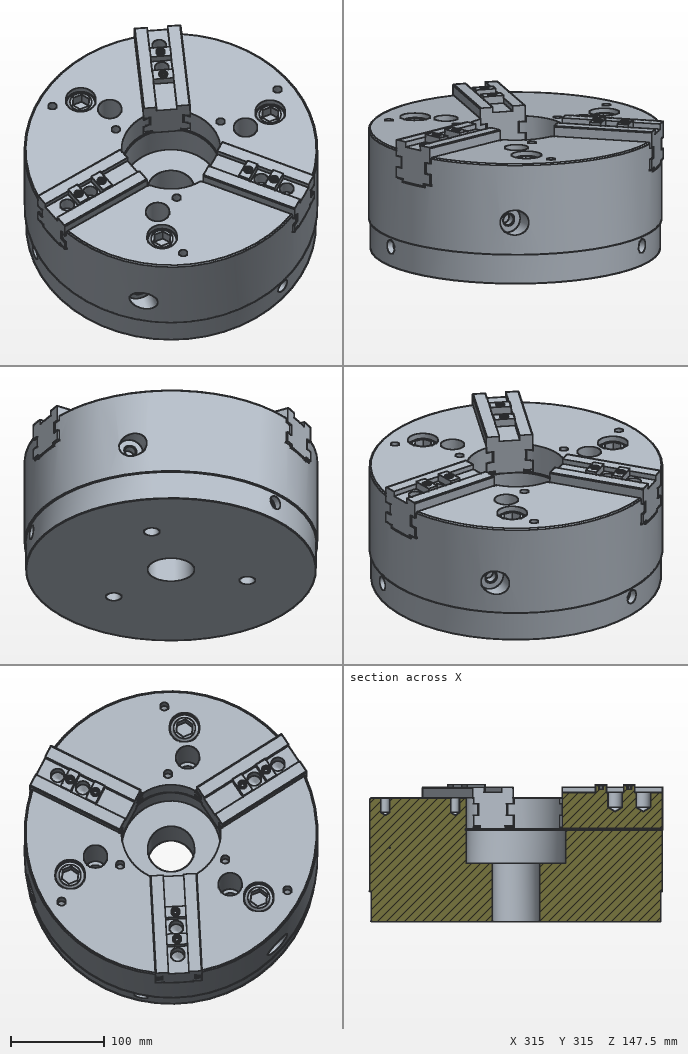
import cadquery as cq
import math

BODY_RADIUS = 157.5
BASE_RADIUS = 156.0
BASE_HEIGHT = 32.5
BODY_TOP = 133.2
TOP_CHAMFER = 1.5
EDGE_CHAMFER = 0.5
BORE_DIAMETER = 106.5
BORE_FLOOR = 63.0
BORE_GROOVE_HEIGHT = 98.5
BORE_GROOVE_WIDTH = 1.3
BORE_GROOVE_DEPTH = 1.0
THROUGH_BORE_DIAMETER = 50.5

JAW_COUNT = 3
JAW_ANGLE = 270.0
JAW_INNER_RADIUS = 49.5
JAW_WIDTH = 50.5
JAW_TOP = 144.5
JAW_CHAMFER = 1.0
JAW_BOTTOM = 103.0
GUIDE_TOP = 126.5
GUIDE_BOTTOM = 114.5
NECK_WIDTH = 34.5
TONGUE_WIDTH = 31.0
TONGUE_HEIGHT = 2.8
CLEARANCE = 1.42

GROOVE_WIDTH = 22.0
GROOVE_FLOOR = 139.0
NUT_TOP = 147.5
NUT_LENGTH = 12.0
NUT_RADII = (91.5, 121.5)
SET_SCREW_DIAMETER = 9.5
SET_SCREW_INNER_DIAMETER = 7.0
SET_SCREW_RECESS = 1.3
SET_SCREW_SOCKET_WIDTH = 4.0
SET_SCREW_SOCKET_DEPTH = 3.8
JAW_HOLE_RADII = (106.5, 136.7)
JAW_HOLE_DIAMETER = 15.0
JAW_HOLE_DEPTH = 15.8

FACE_HOLE_ANGLE = 90.0
FACE_HOLE_RADII = (65.2, 140.2)
FACE_HOLE_DIAMETER = 9.0
FACE_HOLE_DEPTH = 15.8
DRILL_POINT_ANGLE = 118.0

CAP_SCREW_ANGLE = 80.0
CAP_SCREW_RADIUS = 117.8
CAP_SCREW_SINK_DIAMETER = 32.5
CAP_SCREW_SINK_DEPTH = 7.0
CAP_SCREW_HEAD_DIAMETER = 31.0
CAP_SCREW_FACE_DIAMETER = 23.3
CAP_SCREW_FACE_DEPTH = 3.8
CAP_SCREW_SOCKET_WIDTH = 17.0
CAP_SCREW_SOCKET_DEPTH = 12.5

MOUNT_ANGLE = 75.0
MOUNT_RADIUS = 85.5
MOUNT_DIAMETER = 17.0
MOUNT_COUNTERBORE_DIAMETER = 25.5

POCKET_ANGLE = 221.0
POCKET_OFFSET = -71.5
POCKET_HEIGHT = 68.5
POCKET_DIAMETER = 27.5
POCKET_FLOOR = 125.7
SOCKET_DIAMETER = 14.0
SOCKET_INNER_DIAMETER = 12.0
SOCKET_DEPTH = 11.0

PORT_ANGLE = 255.0
PORT_HEIGHT = 21.7
PORT_DIAMETER = 15.0
PORT_INNER_DIAMETER = 9.5
PORT_SINK_DEPTH = 8.0
PORT_DEPTH = 50.5

OVERRUN = 15.8


def ring_of(shape, angle):
    """Turn a shape lying along +X to an angle, and repeat it around the axis."""
    copies = cq.Workplane("XY")
    for index in range(JAW_COUNT):
        turn = angle + index * 360.0 / JAW_COUNT
        copies = copies.add(shape.rotate((0, 0, 0), (0, 0, 1), turn))
    return copies.combine()


def cylinder(diameter, bottom, top, radius=0.0):
    """Upright cylinder between two heights, at a distance along +X."""
    disc = cq.Workplane("XY", origin=(radius, 0, bottom)).circle(diameter / 2)
    return disc.extrude(top - bottom)


def turned(points):
    """Solid of revolution about Z from (radius, height) points."""
    return cq.Workplane("XZ").polyline(points).close().revolve(360, (0, 0), (0, 1))


def drilled_hole(diameter, depth, radius, mouth):
    """Blind hole with a conical drill point, opening upward."""
    half = diameter / 2
    point = half / math.tan(math.radians(DRILL_POINT_ANGLE / 2))
    outline = [(0, OVERRUN), (half, OVERRUN), (half, -depth), (0, -depth - point)]
    return turned(outline).translate((radius, 0, mouth))


def hex_socket(width, top, bottom, radius):
    """Upright hexagonal prism with a corner pointing along X."""
    corner_diameter = width / math.cos(math.pi / 6)
    hexagon = cq.Workplane("XY", origin=(radius, 0, bottom)).polygon(6, corner_diameter)
    return hexagon.extrude(top - bottom)


def side_tool(points, height, offset=0.0):
    """Turned tool laid along +X; points are (tool radius, distance from the centre)."""
    return turned(points).rotate((0, 0, 0), (0, 1, 0), 90).translate((0, offset, height))


def make_body():
    base = cylinder(2 * BASE_RADIUS, 0, BASE_HEIGHT).faces("<Z").chamfer(EDGE_CHAMFER)
    drum = cylinder(2 * BODY_RADIUS, BASE_HEIGHT, BODY_TOP)
    drum = drum.faces(">Z").chamfer(TOP_CHAMFER).faces("<Z").chamfer(EDGE_CHAMFER)
    body = base.union(drum)
    body = body.cut(cylinder(BORE_DIAMETER, BORE_FLOOR, BODY_TOP))
    groove_diameter = BORE_DIAMETER + 2 * BORE_GROOVE_DEPTH
    groove_top = BORE_GROOVE_HEIGHT + BORE_GROOVE_WIDTH
    body = body.cut(cylinder(groove_diameter, BORE_GROOVE_HEIGHT, groove_top))
    return body.cut(cylinder(THROUGH_BORE_DIAMETER, 0, BORE_FLOOR))


def guide_bar(start, end, top, gap):
    """T-shaped bar along +X; the gap widens its neck and tongue and lowers its underside."""
    bottom = JAW_BOTTOM - gap
    head = JAW_WIDTH / 2
    neck = NECK_WIDTH / 2 + gap
    tongue = TONGUE_WIDTH / 2 + gap
    half_outline = [
        (head, top),
        (head, GUIDE_TOP),
        (neck, GUIDE_TOP),
        (neck, GUIDE_BOTTOM),
        (head, GUIDE_BOTTOM),
        (head, bottom),
        (tongue, bottom),
        (tongue, bottom - TONGUE_HEIGHT),
    ]
    mirrored = [(-across, height) for across, height in reversed(half_outline)]
    section = cq.Workplane("YZ", origin=(start, 0, 0)).polyline(half_outline + mirrored).close()
    return section.extrude(end - start)


def nut_screw(radius):
    """Sunken rim and hexagonal socket of one nut's set screw."""
    outer = SET_SCREW_DIAMETER / 2
    inner = SET_SCREW_INNER_DIAMETER / 2
    rim = turned([(0, 0), (outer, 0), (inner, -SET_SCREW_RECESS), (0, -SET_SCREW_RECESS)])
    socket_bottom = NUT_TOP - SET_SCREW_RECESS - SET_SCREW_SOCKET_DEPTH
    socket = hex_socket(SET_SCREW_SOCKET_WIDTH, NUT_TOP, socket_bottom, radius)
    return rim.translate((radius, 0, NUT_TOP)).union(socket)


def make_jaw():
    length = BODY_RADIUS - JAW_INNER_RADIUS
    middle = (BODY_RADIUS + JAW_INNER_RADIUS) / 2
    jaw = guide_bar(JAW_INNER_RADIUS, BODY_RADIUS, JAW_TOP, 0)
    jaw = jaw.faces(">Z").edges("|X").chamfer(JAW_CHAMFER)
    groove = cq.Workplane("XY", origin=(middle, 0, GROOVE_FLOOR)).rect(length, GROOVE_WIDTH)
    jaw = jaw.cut(groove.extrude(JAW_TOP - GROOVE_FLOOR))
    for radius in JAW_HOLE_RADII:
        jaw = jaw.cut(drilled_hole(JAW_HOLE_DIAMETER, JAW_HOLE_DEPTH, radius, GROOVE_FLOOR))
    for radius in NUT_RADII:
        nut = cq.Workplane("XY", origin=(radius, 0, GROOVE_FLOOR)).rect(NUT_LENGTH, GROOVE_WIDTH)
        jaw = jaw.union(nut.extrude(NUT_TOP - GROOVE_FLOOR))
        jaw = jaw.cut(nut_screw(radius))
    return jaw


def cap_screw_recess():
    """Sunken ring around a screw head with a sloped rim, plus its hexagonal socket."""
    sink = CAP_SCREW_SINK_DIAMETER / 2
    recess = turned([
        (0, 0),
        (sink, 0),
        (sink, -CAP_SCREW_SINK_DEPTH),
        (CAP_SCREW_HEAD_DIAMETER / 2, -CAP_SCREW_SINK_DEPTH),
        (CAP_SCREW_FACE_DIAMETER / 2, -CAP_SCREW_FACE_DEPTH),
        (0, -CAP_SCREW_FACE_DEPTH),
    ])
    socket_bottom = BODY_TOP - CAP_SCREW_FACE_DEPTH - CAP_SCREW_SOCKET_DEPTH
    socket = hex_socket(CAP_SCREW_SOCKET_WIDTH, BODY_TOP, socket_bottom, CAP_SCREW_RADIUS)
    return recess.translate((CAP_SCREW_RADIUS, 0, BODY_TOP)).union(socket)


def mounting_hole():
    shank = cylinder(MOUNT_DIAMETER, 0, BODY_TOP, MOUNT_RADIUS)
    return shank.union(cylinder(MOUNT_COUNTERBORE_DIAMETER, BORE_FLOOR, BODY_TOP, MOUNT_RADIUS))


def side_pocket():
    """Pocket offset from the centre line, with a smaller chamfered hole in its floor."""
    mouth = BODY_RADIUS + OVERRUN
    outer = SOCKET_DIAMETER / 2
    inner = SOCKET_INNER_DIAMETER / 2
    return side_tool([
        (0, mouth),
        (POCKET_DIAMETER / 2, mouth),
        (POCKET_DIAMETER / 2, POCKET_FLOOR),
        (outer, POCKET_FLOOR),
        (inner, POCKET_FLOOR - (outer - inner)),
        (inner, POCKET_FLOOR - SOCKET_DEPTH),
        (0, POCKET_FLOOR - SOCKET_DEPTH),
    ], POCKET_HEIGHT, POCKET_OFFSET)


def base_port():
    """Radial counterbored port ending in a smaller blind hole."""
    mouth = BASE_RADIUS + OVERRUN
    outer = PORT_DIAMETER / 2
    inner = PORT_INNER_DIAMETER / 2
    sink_floor = BASE_RADIUS - PORT_SINK_DEPTH
    return side_tool([
        (0, mouth),
        (outer, mouth),
        (outer, sink_floor),
        (inner, sink_floor),
        (inner, BASE_RADIUS - PORT_DEPTH),
        (0, BASE_RADIUS - PORT_DEPTH),
    ], PORT_HEIGHT)


result = make_body()

guideway = guide_bar(BORE_DIAMETER / 2 - OVERRUN, BODY_RADIUS + OVERRUN, BODY_TOP, CLEARANCE)
result = result.cut(ring_of(guideway, JAW_ANGLE))
result = result.union(ring_of(make_jaw(), JAW_ANGLE))

for hole_radius in FACE_HOLE_RADII:
    face_hole = drilled_hole(FACE_HOLE_DIAMETER, FACE_HOLE_DEPTH, hole_radius, BODY_TOP)
    result = result.cut(ring_of(face_hole, FACE_HOLE_ANGLE))
result = result.cut(ring_of(cap_screw_recess(), CAP_SCREW_ANGLE))
result = result.cut(ring_of(mounting_hole(), MOUNT_ANGLE))

result = result.cut(ring_of(side_pocket(), POCKET_ANGLE))
result = result.cut(ring_of(base_port(), PORT_ANGLE))